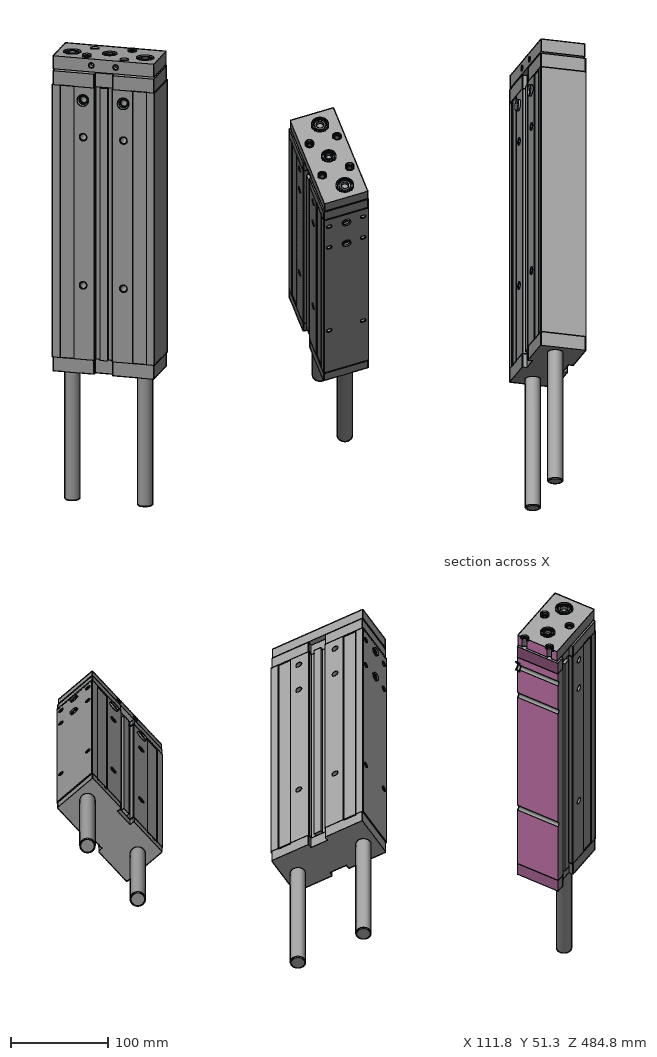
import cadquery as cq


housing_width = 110.0
housing_depth = 49.0
housing_corner = 0.5
cover_width = 108.0
cover_height = 15.0
cover_corner_x = 0.4
cover_corner_y = 1.0
assembly_height = 324.0
housing_bottom = cover_height
housing_top = assembly_height - cover_height
front_face = -housing_depth / 2
back_face = housing_depth / 2
port_face = -housing_width / 2

channel_width = 19.4
channel_depth = 5.0
channel_chamfer = 0.6
cover_channel_chamfer = 0.8
cover_channel_mouth = channel_width + 2 * cover_channel_chamfer
rib_width = 8.0
rib_setback = 1.5
groove_offset = 38.8
groove_width = 15.4
groove_depth = 1.0
groove_chamfer = 0.6

plate_width = 108.0
plate_front = -24.0
plate_back = 23.4
plate_height = 14.0
plate_corner = 0.6
yoke_gap = 2.0
plate_bottom = assembly_height + yoke_gap
plate_top = plate_bottom + plate_height
rod_diameter = 16.0
rod_spacing = 78.0
rod_y = -4.0
rod_bottom = -143.0
rod_chamfer = 1.0
rod_points = [(-rod_spacing / 2, rod_y), (rod_spacing / 2, rod_y)]
piston_diameter = 12.0

rod_bolt = (18.0, 15.0, 12.0, 8.0)
piston_bolt = (15.0, 12.0, 9.0, 6.6)
bolt_seat_depth = 2.0
face_setback = 0.5
face_height = 0.5
socket_depth = 4.0

small_sleeve = (9.0, 6.6, 4.0, 2.2)
large_sleeve = (12.0, 8.8, 5.0, 2.7)

blind_diameter = 4.92
blind_mouth = 6.0
blind_depth = 7.0
drill_point_height = 1.4

plate_hole_x = 20.0
plate_hole_rows = (-15.9, 14.1)
plate_thread = 4.92
plate_thread_mouth = 6.65
plate_front_hole_x = 13.0

row_heights = (295.0, 255.0, 95.0)
port_heights = row_heights[:2]
front_hole_x = 21.6
front_hole = 6.8
front_hole_mouth = 8.2
side_hole_y = 18.5
port_diameter = 6.6
port_depth = 6.0

to_right = (1, 0, 0)
to_left = (-1, 0, 0)
to_back = (0, 1, 0)
to_front = (0, -1, 0)
upward = (0, 0, 1)
downward = (0, 0, -1)

front_sleeve_points = [(x, front_face, row_heights[0]) for x in (-front_hole_x, front_hole_x)]
port_sleeve_points = [(port_face, 0, z) for z in port_heights]
plate_sleeve_points = [
    (-plate_hole_x, plate_hole_rows[0], plate_top),
    (plate_hole_x, plate_hole_rows[1], plate_top),
]


def box(width, y_front, y_back, z_bottom, z_top):
    depth = y_back - y_front
    block = cq.Workplane("XY").box(width, depth, z_top - z_bottom, centered=(True, False, False))
    return block.translate((0, y_front, z_bottom))


def cylinder(point, direction, diameter, length):
    solid = cq.Solid.makeCylinder(diameter / 2, length, cq.Vector(*point), cq.Vector(*direction))
    return cq.Workplane(solid)


def cone(point, direction, start_diameter, end_diameter, height):
    start, end = start_diameter / 2, end_diameter / 2
    return cq.Workplane(cq.Solid.makeCone(start, end, height, cq.Vector(*point), cq.Vector(*direction)))


def countersink(point, direction, mouth, diameter):
    """A 90 degree cone from the mouth down to the hole's diameter."""
    return cone(point, direction, mouth, diameter, (mouth - diameter) / 2)


def along(point, direction, distance):
    return (cq.Vector(*point) + cq.Vector(*direction) * distance).toTuple()


def blind_hole(point, direction):
    hole = cylinder(point, direction, blind_diameter, blind_depth)
    hole = hole.union(countersink(point, direction, blind_mouth, blind_diameter))
    tip = along(point, direction, blind_depth)
    return hole.union(cone(tip, direction, blind_diameter, 0, drill_point_height))


def sleeve_seat(point, direction, sizes):
    outer, _, _, seat_depth = sizes
    return cylinder(point, direction, outer, seat_depth)


def face_slots(mouth_width, chamfer, depth, x_middle, z_bottom, z_top):
    """Matching upright slots in the front and back faces, chamfered at the mouth."""
    mouth = mouth_width / 2
    wall = mouth - chamfer
    front_slot = (
        cq.Workplane("XY", origin=(x_middle, front_face, z_bottom))
        .moveTo(-mouth, 0)
        .lineTo(-wall, chamfer)
        .lineTo(-wall, depth)
        .lineTo(wall, depth)
        .lineTo(wall, chamfer)
        .lineTo(mouth, 0)
        .close()
        .extrude(z_top - z_bottom)
    )
    return front_slot.union(front_slot.mirror("XZ"))


def cut_rod_bores(body, z_bottom, z_top):
    for x, y in rod_points:
        body = body.cut(cylinder((x, y, z_bottom), upward, rod_diameter, z_top - z_bottom))
    return body


def cut_profile(body):
    """Central channels with a rib standing in each, and shallow grooves on both sides."""
    span = (housing_bottom, housing_top)
    channels = face_slots(channel_width, channel_chamfer, channel_depth, 0, *span)
    ribs = box(rib_width, front_face + rib_setback, back_face - rib_setback, *span)
    body = body.cut(channels.cut(ribs))
    for x in (-groove_offset, groove_offset):
        body = body.cut(face_slots(groove_width, groove_chamfer, groove_depth, x, *span))
    return body


def cut_housing_holes(body):
    for z in row_heights:
        for x in (-front_hole_x, front_hole_x):
            point = (x, front_face, z)
            body = body.cut(cylinder(point, to_back, front_hole, housing_depth))
            body = body.cut(countersink(point, to_back, front_hole_mouth, front_hole))
        for y in (-side_hole_y, side_hole_y):
            body = body.cut(blind_hole((port_face, y, z), to_right))
    for point in front_sleeve_points:
        body = body.cut(sleeve_seat(point, to_back, large_sleeve))
    for point in port_sleeve_points:
        body = body.cut(cylinder(point, to_right, port_diameter, port_depth))
        body = body.cut(sleeve_seat(point, to_right, small_sleeve))
    return body


def make_housing():
    body = box(housing_width, front_face, back_face, housing_bottom, housing_top)
    body = body.edges("|Z").chamfer(housing_corner)
    body = cut_profile(body)
    body = cut_rod_bores(body, housing_bottom, housing_top)
    return cut_housing_holes(body)


def make_cover(z_bottom):
    z_top = z_bottom + cover_height
    cover = box(cover_width, front_face, back_face, z_bottom, z_top)
    cover = cover.edges("|Z").chamfer(cover_corner_y, cover_corner_x)
    channels = face_slots(cover_channel_mouth, cover_channel_chamfer, channel_depth, 0, z_bottom, z_top)
    return cut_rod_bores(cover.cut(channels), z_bottom, z_top)


def add_bolt(yoke, x, y, sizes):
    """A ring-shaped recess in the plate around a stepped bolt head with a socket."""
    seat, head, face, socket = sizes
    floor = (x, y, plate_top - bolt_seat_depth)
    face_top = bolt_seat_depth - face_setback
    yoke = yoke.cut(cylinder(floor, upward, seat, bolt_seat_depth))
    yoke = yoke.union(cylinder(floor, upward, head, face_top - face_height))
    yoke = yoke.union(cylinder(floor, upward, face, face_top))
    return yoke.cut(cylinder(along(floor, upward, face_top), downward, socket, socket_depth))


def cut_plate_holes(yoke):
    for x in (-plate_hole_x, plate_hole_x):
        for y in plate_hole_rows:
            point = (x, y, plate_top)
            seat_floor = along(point, downward, small_sleeve[3])
            yoke = yoke.cut(cylinder(point, downward, plate_thread, plate_height))
            yoke = yoke.cut(sleeve_seat(point, downward, small_sleeve))
            yoke = yoke.cut(countersink(seat_floor, downward, plate_thread_mouth, plate_thread))
    for x in (-plate_front_hole_x, plate_front_hole_x):
        yoke = yoke.cut(blind_hole((x, plate_front, plate_bottom + plate_height / 2), to_back))
    return yoke


def make_yoke():
    yoke = box(plate_width, plate_front, plate_back, plate_bottom, plate_top)
    yoke = yoke.edges("|Z").chamfer(plate_corner)
    for x, y in rod_points:
        rod = cylinder((x, y, rod_bottom), upward, rod_diameter, plate_bottom - rod_bottom)
        yoke = yoke.union(rod.faces("<Z").chamfer(rod_chamfer))
        yoke = add_bolt(yoke, x, y, rod_bolt)
    piston_rod = cylinder((0, 0, housing_top), upward, piston_diameter, plate_bottom - housing_top)
    yoke = add_bolt(yoke.union(piston_rod), 0, 0, piston_bolt)
    return cut_plate_holes(yoke)


def make_sleeve(point, outward, sizes):
    """A ring whose bore opens out in a cone to a sharp rim at the exposed end."""
    outer, inner, length, seat_depth = sizes
    inner_end = along(point, outward, -seat_depth)
    exposed_end = along(inner_end, outward, length)
    inward = along((0, 0, 0), outward, -1)
    sleeve = cylinder(inner_end, outward, outer, length)
    sleeve = sleeve.cut(cylinder(inner_end, outward, inner, length))
    return sleeve.cut(countersink(exposed_end, inward, outer, inner))


housing = make_housing()
lower_cover = make_cover(0)
upper_cover = make_cover(housing_top)
upper_cover = upper_cover.cut(cylinder((0, 0, housing_top), upward, piston_diameter, cover_height))
yoke = make_yoke()
front_sleeves = [make_sleeve(point, to_front, large_sleeve) for point in front_sleeve_points]
port_sleeves = [make_sleeve(point, to_left, small_sleeve) for point in port_sleeve_points]
plate_sleeves = [make_sleeve(point, upward, small_sleeve) for point in plate_sleeve_points]

result = cq.Compound.makeCompound(
    [
        housing.val(),
        lower_cover.val(),
        upper_cover.val(),
        yoke.val(),
        *[sleeve.val() for sleeve in front_sleeves],
        *[sleeve.val() for sleeve in port_sleeves],
        *[sleeve.val() for sleeve in plate_sleeves],
    ]
)